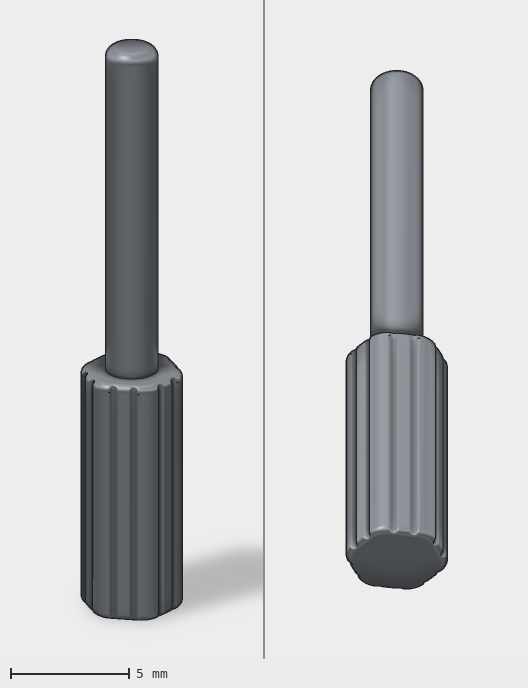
import cadquery as cq
import math

total_length = 25.7
grip_length = 10.82
grip_across_flats = 4.0
grip_across_corners = 4.32
pin_diameter = 2.24

pin_tip_radius = 0.51
grip_end_radius = 0.3

flat_count = 6
groove_radius = 0.15
groove_offset = 0.44
groove_lip_radius = 0.1

flat_distance = grip_across_flats / 2
half_flat_angle = math.pi / flat_count
sharp_corner_distance = flat_distance / math.cos(half_flat_angle)
corner_trim = sharp_corner_distance - grip_across_corners / 2
corner_radius = corner_trim / (1 / math.cos(half_flat_angle) - 1)


def make_grip_blank():
    """Rounded hexagonal bar with corners on the Y axis and both ends rounded over."""
    return (
        cq.Workplane("XY")
        .polygon(flat_count, 2 * sharp_corner_distance)
        .extrude(grip_length)
        .rotate((0, 0, 0), (0, 0, 1), math.degrees(half_flat_angle))
        .edges("|Z")
        .fillet(corner_radius)
        .faces("<Z or >Z")
        .edges()
        .fillet(grip_end_radius)
    )


def make_grooves():
    """Round-bottomed groove cutters centred on the surfaces of the flats."""
    centres = [(flat_distance, -groove_offset), (flat_distance, groove_offset)]
    pair = cq.Workplane("XY").pushPoints(centres).circle(groove_radius).extrude(grip_length)
    cutters = cq.Workplane("XY")
    for index in range(flat_count):
        cutters = cutters.add(pair.rotate((0, 0, 0), (0, 0, 1), index * 360 / flat_count))
    return cutters.combine()


def make_pin():
    """Round pin running through the grip, with a rounded tip."""
    return (
        cq.Workplane("XY")
        .circle(pin_diameter / 2)
        .extrude(total_length)
        .faces(">Z")
        .edges()
        .fillet(pin_tip_radius)
    )


def make_grip():
    """Grooved grip; its only lengthwise edges are the groove lips, which are rounded over."""
    grooved = make_grip_blank().cut(make_grooves())
    return grooved.edges("|Z").fillet(groove_lip_radius)


result = make_grip().union(make_pin())